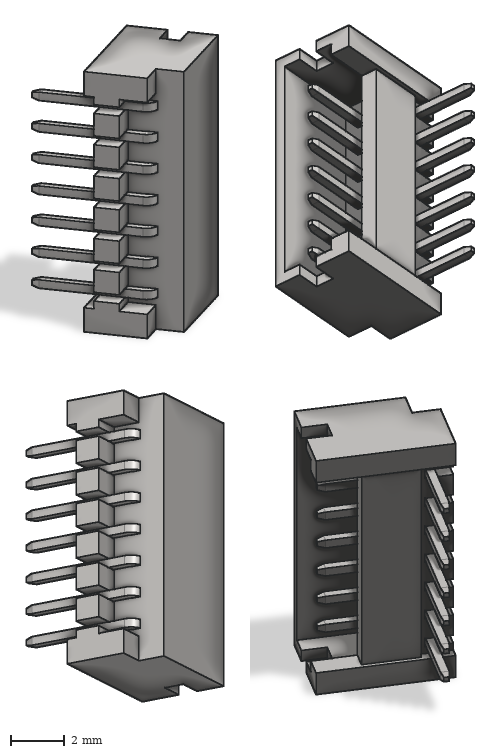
import cadquery as cq

length = 10.4
width = 3.6
depth = 5.4
end_wall = 0.97
base_y = 1.1
foot_x = 2.5

panel_inset = 0.18
panel_start_y = 1.3
window_y = 3.6
comb_inset = 0.4
comb_width = 1.0

cavity_x = 0.87
cavity_end_wall = 0.48
cavity_floor_y = 1.8
notch_x = 1.61
notch_width = 0.81
notch_depth = 1.0
cavity_width = 2 * (notch_x + notch_width / 2 - cavity_x)

pin_count = 7
pin_row_length = 7.5
pin_pitch = pin_row_length / (pin_count - 1)
slot_size = 0.35
pin_size = 0.34
pin_tip_size = 0.2
pin_taper = 0.29
pin_row_y = 0.89
pin_x = 2.4
solder_tip_x = -2.3
mating_tip_y = 4.8
bend_radius = 0.31

pin_levels = [(length - pin_row_length) / 2 + i * pin_pitch for i in range(pin_count)]


def block(x0, x1, y0, y1, z0, z1):
    """Box given by its limits along each axis."""
    return cq.Workplane("XY").box(x1 - x0, y1 - y0, z1 - z0, centered=False).translate((x0, y0, z0))


def make_housing():
    """Shrouded body with end feet, comb, cavity, window and key notches."""
    body = block(0, width, base_y, depth, 0, length)
    body = body.union(block(0, foot_x, 0, base_y, 0, length))

    row = (end_wall, length - end_wall)
    comb_end = comb_inset + comb_width
    body = body.cut(block(0, panel_inset, 0, depth, *row))
    body = body.cut(block(0, comb_inset, 0, panel_start_y, *row))
    body = body.cut(block(comb_end, foot_x, 0, base_y, *row))

    for level in pin_levels:
        body = body.cut(block(comb_inset, comb_end, 0, base_y, level - slot_size / 2, level + slot_size / 2))

    body = body.cut(block(cavity_x, cavity_x + cavity_width, cavity_floor_y, depth,
                          cavity_end_wall, length - cavity_end_wall))
    body = body.cut(block(0, cavity_x, window_y, depth, *row))
    return body.cut(block(notch_x, notch_x + notch_width, depth - notch_depth, depth, 0, length))


def pin_tip(plane):
    """Tapered square tip growing from the given plane."""
    return (
        cq.Workplane(plane)
        .rect(pin_size, pin_size)
        .workplane(offset=pin_taper)
        .rect(pin_tip_size, pin_tip_size)
        .loft(combine=True)
    )


def make_pin(level):
    """L-shaped square pin with a rounded bend and tapered tips."""
    half = pin_size / 2
    solder_end = solder_tip_x + pin_taper
    mating_end = mating_tip_y - pin_taper
    outer = bend_radius + half
    inner = bend_radius - half
    legs = (
        cq.Workplane("XY", origin=(0, 0, level - half))
        .moveTo(solder_end, pin_row_y - half)
        .lineTo(pin_x - bend_radius, pin_row_y - half)
        .radiusArc((pin_x + half, pin_row_y + bend_radius), -outer)
        .lineTo(pin_x + half, mating_end)
        .lineTo(pin_x - half, mating_end)
        .lineTo(pin_x - half, pin_row_y + bend_radius)
        .radiusArc((pin_x - bend_radius, pin_row_y + half), inner)
        .lineTo(solder_end, pin_row_y + half)
        .close()
        .extrude(pin_size)
    )
    solder_plane = cq.Plane(origin=(solder_end, pin_row_y, level), xDir=(0, 0, 1), normal=(-1, 0, 0))
    mating_plane = cq.Plane(origin=(pin_x, mating_end, level), xDir=(0, 0, 1), normal=(0, 1, 0))
    return legs.union(pin_tip(solder_plane)).union(pin_tip(mating_plane))


result = make_housing()
for pin_level in pin_levels:
    result = result.union(make_pin(pin_level))